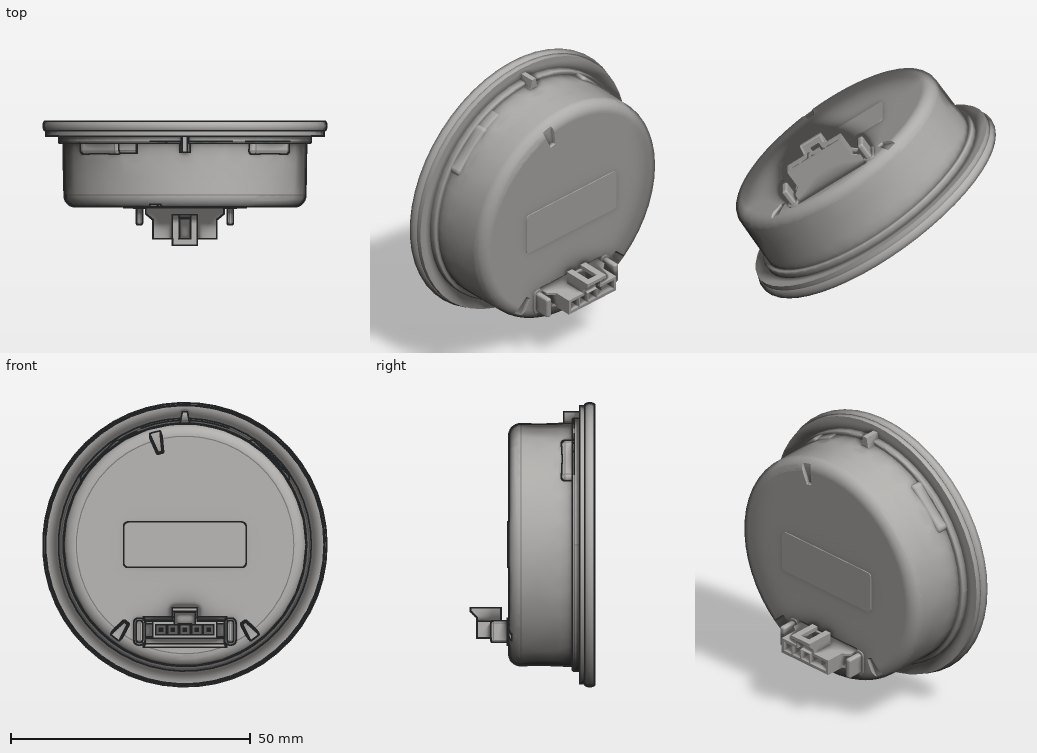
import cadquery as cq
import math


bezel_radius = 29.6
bezel_face_radius = 29.2
bezel_thickness = 2.0
gasket_radius = 29.0
gasket_thickness = 1.1
gasket_rear = bezel_thickness + gasket_thickness

flange_radius = 26.35
flange_rear = 4.6
flange_edge_radius = 0.4
wall_root_radius = 25.4
wall_end_radius = 25.15
housing_rear = 17.9
rim_radius = 2.55

tab_rear = 6.45
tab_top = 27.7
tab_tip_half_width = 0.55
tab_root_half_width = 0.9
tab_root_height = 25.75
tab_bottom = 24.85
tab_foot_half_width = 1.3

pad_angles = (45, 135)
pad_face_distance = 25.55
pad_length = 11.6
pad_corner_radius = 1.05
pad_rear = 6.9
pad_edge_radius = 0.7
stop_angle = 118
stop_radius = 25.7
stop_half_angle = 4.8
stop_rear = 6.75

upper_notch_angle = 105
upper_notch_inner_radius = 20.0
lower_notch_angles = (233, 307)
lower_notch_inner_radius = 20.4
notch_outer_radius = 26.05
notch_inner_width = 0.8
notch_outer_width = 2.85
notch_depth = 0.6
notch_wall_slope = 30

window_width = 17.4
window_top = -15.05
window_bottom = -21.35
window_side_inset = 0.5
window_edge_inset = 0.7
window_edge_depth = 0.7
board_front = housing_rear - window_edge_depth
board_thickness = 0.95

guard_inner = 8.8
guard_thickness = 1.3
guard_top = -15.8
guard_bottom = -20.35
guard_length = 3.7
guard_corner_radius = 0.5
foot_overhang = 0.55
foot_thickness = 0.3

label_width = 25.5
label_height = 9.45
label_corner_radius = 0.95
label_thickness = 0.2

connector_top = -16.0
connector_bottom = -19.45
connector_height = connector_top - connector_bottom
connector_rear = 24.5
connector_half_width = 6.7
shoulder_half_width = 8.15
shoulder_rear = 19.3
shoulder_slope_rear = 20.55
shoulder_top_plate = 0.55
shoulder_bottom_plate = 0.35
socket_count = 5
socket_pitch = 2.5
divider_thickness = 0.3
socket_top = -16.6
socket_bottom = -18.75
socket_height = socket_top - socket_bottom
socket_middle = (socket_top + socket_bottom) / 2
socket_depth = 4.15
joined_socket = 3
join_depth = 1.3
contact_size = 0.65
contact_length = 2.35
contact_tip_chamfer = 0.2

latch_half_width = 2.6
latch_wall = 0.4
latch_roof = 0.95
latch_front = 19.45
latch_rear = 25.85
latch_top = -13.1
latch_lip_bottom = -13.85
latch_opening_width = 2.35
latch_opening_rear = 24.5
tunnel_front = 20.0
lip_width = 2.7
lip_thickness = 0.1


def plane_at(depth):
    """Plane square to the axis at this depth: local x is X, local y is Z, extrusion goes to the rear."""
    return cq.Workplane("XZ", origin=(0, -depth, 0))


def block(x_min, x_max, z_min, z_max, front, rear):
    """Box between two depths."""
    return (
        plane_at(front)
        .center((x_min + x_max) / 2, (z_min + z_max) / 2)
        .rect(x_max - x_min, z_max - z_min)
        .extrude(rear - front)
    )


def turn(shape, angle):
    """Turn a shape built on the +X side to an angle measured from +X towards +Z."""
    return shape.rotate((0, 0, 0), (0, -1, 0), angle)


def make_bezel():
    """Disc with a bulging edge."""
    profile = (
        cq.Workplane("XY")
        .lineTo(bezel_face_radius, 0)
        .threePointArc((bezel_radius, -bezel_thickness / 2), (bezel_face_radius, -bezel_thickness))
        .lineTo(0, -bezel_thickness)
        .close()
    )
    return profile.revolve(360, (0, 0, 0), (0, 1, 0))


def make_gasket():
    return plane_at(bezel_thickness).circle(gasket_radius).extrude(gasket_thickness)


def make_shell():
    """Flange and slightly tapered cup with a rounded rear rim."""
    flange = plane_at(gasket_rear).circle(flange_radius).extrude(flange_rear - gasket_rear)
    flange = flange.faces("<Y").edges().fillet(flange_edge_radius)
    cup = (
        cq.Workplane("XY")
        .moveTo(0, -gasket_rear)
        .lineTo(wall_root_radius, -gasket_rear)
        .lineTo(wall_end_radius, -housing_rear)
        .lineTo(0, -housing_rear)
        .close()
        .revolve(360, (0, 0, 0), (0, 1, 0))
    )
    cup = cup.faces("<Y").edges().fillet(rim_radius)
    return flange.union(cup)


def make_tab():
    """Key tab, wider at its foot."""
    right_side = [
        (tab_foot_half_width, tab_bottom),
        (tab_root_half_width, tab_root_height),
        (tab_tip_half_width, tab_top),
    ]
    left_side = [(-x, z) for x, z in reversed(right_side)]
    return plane_at(gasket_rear).polyline(right_side + left_side).close().extrude(tab_rear - gasket_rear)


def make_pad():
    """Block with a flat outer face, on the +X side."""
    inner_x = wall_end_radius - rim_radius
    half_length = pad_length / 2
    pad = block(inner_x, pad_face_distance, -half_length, half_length, gasket_rear, pad_rear)
    pad = pad.edges("|Y and >X").fillet(pad_corner_radius)
    return pad.faces("<Y").edges(">X").fillet(pad_edge_radius)


def make_stop():
    """Curved block, concentric with the wall, on the +X side."""
    half_angle = math.radians(stop_half_angle)
    corner = (stop_radius * math.cos(half_angle), stop_radius * math.sin(half_angle))
    inner_x = wall_end_radius - rim_radius
    return (
        plane_at(gasket_rear)
        .moveTo(inner_x, -corner[1])
        .lineTo(corner[0], -corner[1])
        .threePointArc((stop_radius, 0), corner)
        .lineTo(inner_x, corner[1])
        .close()
        .extrude(stop_rear - gasket_rear)
        .faces("<Y")
        .edges(">X")
        .fillet(pad_edge_radius)
    )


def make_notch(inner_radius):
    """Notch cutter on the +X side: it widens outwards and its walls slope."""
    floor_outline = [
        (inner_radius, -notch_inner_width / 2),
        (notch_outer_radius, -notch_outer_width / 2),
        (notch_outer_radius, notch_outer_width / 2),
        (inner_radius, notch_inner_width / 2),
    ]
    return (
        plane_at(housing_rear - notch_depth)
        .polyline(floor_outline)
        .close()
        .extrude(notch_depth, taper=-notch_wall_slope)
    )


def window_floor():
    """Outline of the window at its floor, on the front face of the board."""
    height = window_top - window_bottom
    return (
        plane_at(board_front)
        .center(0, (window_top + window_bottom) / 2)
        .rect(window_width - 2 * window_side_inset, height - 2 * window_edge_inset)
    )


def make_window():
    """Window cutter with sloping edges, from its floor out to the rear of the housing."""
    opening = window_floor().workplane(offset=window_edge_depth)
    return opening.rect(window_width, window_top - window_bottom).loft()


def make_guard(side):
    """Rounded wall on a wider foot, on one side of the window."""
    center_x = side * (guard_inner + guard_thickness / 2)
    center_z = (guard_top + guard_bottom) / 2
    height = guard_top - guard_bottom
    wall = (
        plane_at(housing_rear)
        .center(center_x, center_z)
        .rect(guard_thickness, height)
        .extrude(guard_length)
        .edges("|Y or <Y")
        .fillet(guard_corner_radius)
    )
    foot = (
        plane_at(housing_rear)
        .center(center_x, center_z)
        .rect(guard_thickness + 2 * foot_overhang, height + 2 * foot_overhang)
        .extrude(foot_thickness)
        .edges("|Y")
        .fillet(guard_corner_radius + foot_overhang)
    )
    return wall.union(foot)


def make_housing():
    housing = make_shell().union(make_tab())
    for angle in pad_angles:
        housing = housing.union(turn(make_pad(), angle))
    housing = housing.union(turn(make_stop(), stop_angle))
    housing = housing.cut(turn(make_notch(upper_notch_inner_radius), upper_notch_angle))
    for angle in lower_notch_angles:
        housing = housing.cut(turn(make_notch(lower_notch_inner_radius), angle))
    for side in (-1, 1):
        housing = housing.union(make_guard(side))
    return housing.cut(make_window()).cut(make_board())


def make_board():
    """Circuit board that closes the window and carries the connector."""
    return window_floor().extrude(-board_thickness)


def make_label():
    return (
        plane_at(housing_rear)
        .rect(label_width, label_height)
        .extrude(label_thickness)
        .edges("|Y")
        .fillet(label_corner_radius)
    )


def make_connector_block():
    """Connector body without sockets: next to the board, two wider plates form its shoulders."""
    right_side = [
        (shoulder_half_width, -board_front),
        (shoulder_half_width, -shoulder_rear),
        (connector_half_width, -shoulder_slope_rear),
        (connector_half_width, -connector_rear),
    ]
    left_side = [(-x, y) for x, y in reversed(right_side)]
    connector = (
        cq.Workplane("XY", origin=(0, 0, connector_bottom))
        .polyline(right_side + left_side)
        .close()
        .extrude(connector_height)
    )
    for side in (-1, 1):
        x_min, x_max = sorted((side * connector_half_width, side * shoulder_half_width))
        gap_bottom = connector_bottom + shoulder_bottom_plate
        gap_top = connector_top - shoulder_top_plate
        connector = connector.cut(block(x_min, x_max, gap_bottom, gap_top, board_front, shoulder_slope_rear))
    return connector


def make_latch():
    """Block with an overhanging lip at its rear end."""
    overhang = latch_rear - connector_rear
    side_outline = [
        (-latch_front, latch_top),
        (-latch_rear, latch_top),
        (-latch_rear, latch_lip_bottom),
        (-connector_rear, latch_lip_bottom - overhang),
        (-connector_rear, connector_top),
        (-latch_front, connector_top),
    ]
    return (
        cq.Workplane("YZ", origin=(-latch_half_width, 0, 0))
        .polyline(side_outline)
        .close()
        .extrude(2 * latch_half_width)
    )


def make_latch_tunnel():
    """Cutter under the latch roof, reaching the sockets, less the lip over the middle socket."""
    half_width = latch_half_width - latch_wall
    roof_bottom = latch_top - latch_roof
    tunnel = block(-half_width, half_width, socket_top, roof_bottom, tunnel_front, latch_rear)
    lip_top = socket_top + lip_thickness
    lip = block(-lip_width / 2, lip_width / 2, socket_top, lip_top, tunnel_front, latch_rear)
    return tunnel.cut(lip)


def make_latch_opening():
    """Cutter that opens the latch roof from its front end."""
    half_width = latch_opening_width / 2
    roof_bottom = latch_top - latch_roof
    return block(-half_width, half_width, roof_bottom, latch_top, latch_front, latch_opening_rear)


def make_connector():
    connector = make_connector_block().union(make_latch())
    connector = connector.cut(make_latch_tunnel()).cut(make_latch_opening())
    socket_floor = connector_rear - socket_depth
    socket_centers = [(index - (socket_count - 1) / 2) * socket_pitch for index in range(socket_count)]
    socket_positions = [(x, socket_middle) for x in socket_centers]
    sockets = (
        plane_at(socket_floor)
        .pushPoints(socket_positions)
        .rect(socket_pitch - divider_thickness, socket_height)
        .extrude(socket_depth)
    )
    contacts = (
        plane_at(socket_floor)
        .pushPoints(socket_positions)
        .rect(contact_size, contact_size)
        .extrude(contact_length)
        .faces("<Y")
        .edges()
        .chamfer(contact_tip_chamfer)
    )
    join = block(
        socket_centers[joined_socket],
        socket_centers[joined_socket + 1],
        socket_bottom,
        socket_top,
        connector_rear - join_depth,
        connector_rear,
    )
    return connector.cut(sockets).cut(join).union(contacts)


bezel = make_bezel()
gasket = make_gasket()
housing = make_housing()
board = make_board()
label = make_label()
connector = make_connector()

bodies = (bezel, gasket, housing, board, label, connector)
result = cq.Compound.makeCompound([body.solids().val() for body in bodies])